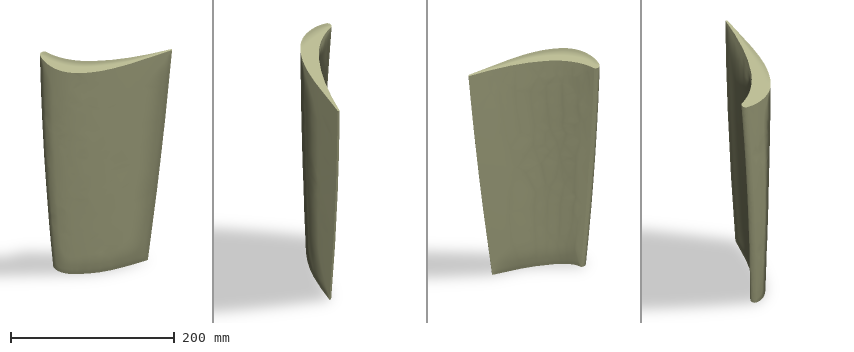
import cadquery as cq

span = 334.5

root = {
    "height": 0.0,
    "nose": (20.5, 12.7),
    "convex": [(22.7, 8.7), (31.0, 7.0), (43.5, 11.0), (56.5, 22.5), (73.0, 43.5), (87.0, 70.2), (98.0, 97.0)],
    "concave": [(96.3, 98.3), (88.5, 85.5), (74.5, 64.0), (60.2, 45.0), (46.8, 30.8), (35.0, 21.7), (22.7, 17.7)],
}
middle = {
    "height": span / 2,
    "nose": (10.0, 8.7),
    "convex": [(12.7, 4.0), (26.0, 0.7), (43.5, 6.0), (59.5, 18.7), (76.5, 41.8), (92.5, 75.5), (105.3, 113.0)],
    "concave": [(103.5, 114.7), (96.3, 101.5), (79.0, 71.2), (63.0, 48.0), (46.8, 32.0), (28.5, 20.5), (13.0, 14.0)],
}
tip = {
    "height": span,
    "nose": (0.0, 11.5),
    "convex": [(3.0, 6.5), (24.0, 0.7), (43.8, 4.5), (63.0, 18.7), (82.2, 46.8), (99.0, 86.0), (113.0, 124.0)],
    "concave": [(111.5, 125.7), (102.5, 108.5), (84.3, 77.5), (63.0, 49.8), (41.8, 30.5), (22.0, 20.0), (3.0, 16.0)],
}


def section_wire(section):
    """Closed airfoil outline: two splined faces, an arc nose and a flat trailing edge."""
    convex = section["convex"]
    concave = section["concave"]
    outline = (
        cq.Workplane("XY", origin=(0, 0, section["height"]))
        .moveTo(*convex[0])
        .spline(convex[1:], includeCurrent=True)
        .lineTo(*concave[0])
        .spline(concave[1:], includeCurrent=True)
        .threePointArc(section["nose"], convex[0])
        .close()
    )
    return outline.val()


blade = cq.Solid.makeLoft([section_wire(section) for section in (root, middle, tip)])
result = cq.Workplane("XY").newObject([blade])